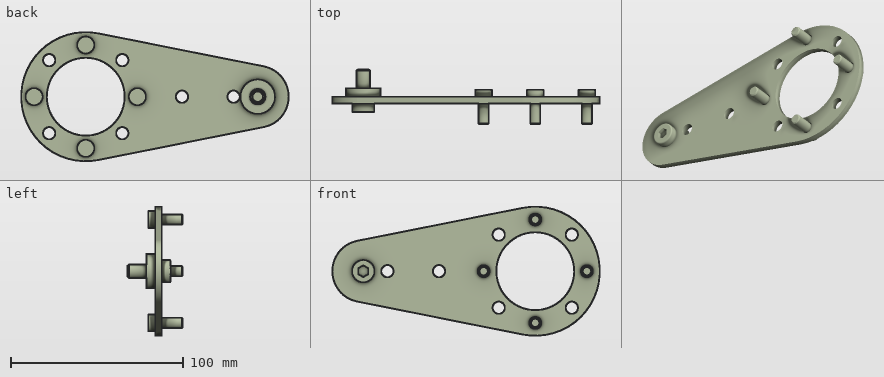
import cadquery as cq
import math


arm_length = 155.4
large_end_radius = 37.52
small_end_radius = 18.0
plate_thickness = 4.0
bore_diameter = 45.0
clearance_hole_diameter = 7.0
bolt_circle_radius = 30.0
pivot_hole_diameter = 9.0
pivot_x = -(arm_length - large_end_radius - small_end_radius)
first_arm_hole_x = pivot_x + 14.0
arm_hole_spacing = 30.0

flange_shank_diameter = 6.0
flange_head_diameter = 10.0
flange_head_height = 4.0
flange_head_fillet = 0.6
flange_tip_chamfer = 0.6
flange_screw_reach = 12.0
flange_screw_length = plate_thickness + flange_screw_reach

spacer_diameter = 20.0
spacer_thickness = 5.0

pivot_shank_diameter = 8.0
pivot_head_diameter = 13.0
pivot_head_height = 5.0
pivot_head_fillet = 0.8
pivot_tip_chamfer = 1.0
pivot_screw_reach = 11.0
pivot_screw_length = plate_thickness + spacer_thickness + pivot_screw_reach
socket_width = 5.9
socket_depth = 3.0


def on_circle(radius, angle, center_x=0.0):
    """Point in the XZ plane on a circle whose center lies on the X axis."""
    return (center_x + radius * math.cos(angle), radius * math.sin(angle))


def disc(x, z, diameter, y_start, y_end):
    """Cylinder along Y between two Y positions."""
    start = cq.Vector(x, y_start, z)
    solid = cq.Solid.makeCylinder(diameter / 2, y_end - y_start, start, cq.Vector(0, 1, 0))
    return cq.Workplane(obj=solid)


def bolt_circle_points(first_angle):
    """Four evenly spaced points on the bolt circle; the angle is in radians."""
    return [on_circle(bolt_circle_radius, first_angle + i * math.pi / 2) for i in range(4)]


def make_plate():
    """Tapered arm: two round ends joined by tangent lines, with all its holes."""
    taper = math.asin((large_end_radius - small_end_radius) / -pivot_x)
    tangent_angle = math.pi / 2 + taper
    small_top = on_circle(small_end_radius, tangent_angle, pivot_x)
    large_top = on_circle(large_end_radius, tangent_angle)
    small_bottom = (small_top[0], -small_top[1])
    large_bottom = (large_top[0], -large_top[1])
    plate = (
        cq.Workplane("XZ")
        .moveTo(*small_top)
        .lineTo(*large_top)
        .threePointArc((large_end_radius, 0), large_bottom)
        .lineTo(*small_bottom)
        .threePointArc((pivot_x - small_end_radius, 0), small_top)
        .close()
        .extrude(-plate_thickness)
    )
    plate = plate.cut(disc(0, 0, bore_diameter, 0, plate_thickness))
    plate = plate.cut(disc(pivot_x, 0, pivot_hole_diameter, 0, plate_thickness))
    arm_holes = [(first_arm_hole_x + i * arm_hole_spacing, 0) for i in range(2)]
    screw_holes = bolt_circle_points(0)
    open_holes = bolt_circle_points(math.pi / 4)
    for x, z in arm_holes + screw_holes + open_holes:
        plate = plate.cut(disc(x, z, clearance_hole_diameter, 0, plate_thickness))
    return plate


def make_flange_screw(x, z):
    """Screw with its head on the back face and its tip pointing toward -Y."""
    seat = plate_thickness
    shank = disc(x, z, flange_shank_diameter, seat - flange_screw_length, seat)
    shank = shank.faces("<Y").chamfer(flange_tip_chamfer)
    head = disc(x, z, flange_head_diameter, seat, seat + flange_head_height)
    head = head.faces(">Y").edges().fillet(flange_head_fillet)
    return shank.union(head)


def make_spacer():
    """Plain ring around the pivot screw, resting on the back face."""
    back = plate_thickness + spacer_thickness
    ring = disc(pivot_x, 0, spacer_diameter, plate_thickness, back)
    return ring.cut(disc(pivot_x, 0, pivot_hole_diameter, plate_thickness, back))


def make_pivot_screw():
    """Hex socket screw with its head on the front face and its tip toward +Y."""
    shank = disc(pivot_x, 0, pivot_shank_diameter, 0, pivot_screw_length)
    shank = shank.faces(">Y").chamfer(pivot_tip_chamfer)
    head = disc(pivot_x, 0, pivot_head_diameter, -pivot_head_height, 0)
    head = head.faces("<Y").edges().fillet(pivot_head_fillet)
    socket_corner_diameter = socket_width / math.cos(math.pi / 6)
    socket = (
        cq.Workplane("XZ", origin=(pivot_x, -pivot_head_height, 0))
        .transformed(rotate=(0, 0, 90))
        .polygon(6, socket_corner_diameter)
        .extrude(-socket_depth)
    )
    return shank.union(head).cut(socket)


plate = make_plate()
spacer = make_spacer()
pivot_screw = make_pivot_screw()
flange_screws = [make_flange_screw(x, z) for x, z in bolt_circle_points(0)]

result = cq.Compound.makeCompound(
    [plate.val(), spacer.val(), pivot_screw.val(), *[screw.val() for screw in flange_screws]]
)